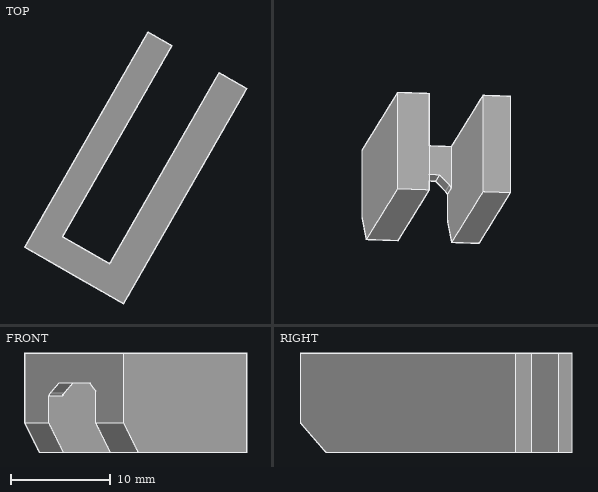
import cadquery as cq

length = 25.0
width = 11.48
height = 10.0
turn_angle = -29.8

left_arm = 2.8
right_arm = 3.23
front_wall = 2.82
lower_chamfer = 3.0

bridge_height = 3.0
left_slope = 1.01
left_steep_width = 0.2
left_steep_height = 0.3
right_slope_width = 0.7
right_slope_height = 0.82

slot_left = left_arm
slot_right = width - right_arm
slot_width = slot_right - slot_left
opening_top = height - bridge_height


def make_block():
    """Block with a chamfer along its lower front edge."""
    block = cq.Workplane("XY").box(width, length, height, centered=False)
    return block.faces("<Y").edges("<Z").chamfer(lower_chamfer)


def make_slot():
    """Full-height slot between the arms, open at the back."""
    slot = cq.Workplane("XY").box(slot_width, length - front_wall, height, centered=False)
    return slot.translate((slot_left, front_wall, 0))


def make_opening():
    """Opening through the front wall, as wide as the slot."""
    return (
        cq.Workplane("XZ")
        .moveTo(slot_left, 0)
        .lineTo(slot_left, opening_top - left_slope - left_steep_height)
        .line(left_steep_width, left_steep_height)
        .line(left_slope, left_slope)
        .lineTo(slot_right - right_slope_width, opening_top)
        .lineTo(slot_right, opening_top - right_slope_height)
        .lineTo(slot_right, 0)
        .close()
        .extrude(-length)
    )


fork = make_block().cut(make_slot()).cut(make_opening())
result = fork.rotate((0, 0, 0), (0, 0, 1), turn_angle)